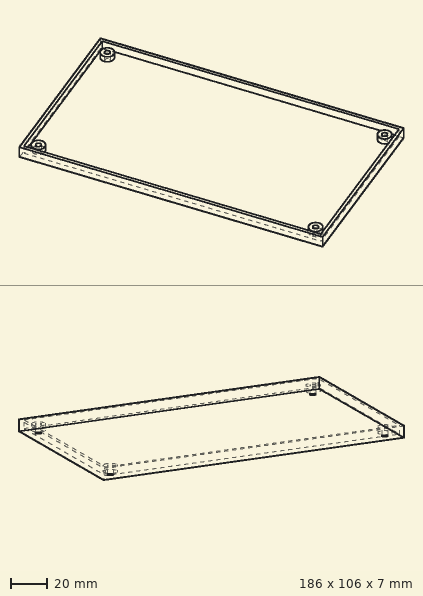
import cadquery as cq

length = 186.0
width = 106.0
height = 7.0
wall = 2.0
floor = 2.0

boss_diameter = 8.0
boss_height = 3.5
hole_diameter = 3.2
boss_inset = 8.0

boss_spacing_x = length - 2 * boss_inset
boss_spacing_y = width - 2 * boss_inset
boss_top = floor + boss_height


def make_tray():
    """Open-topped rectangular tray with its underside on Z = 0."""
    tray = cq.Workplane("XY").box(length, width, height, centered=(True, True, False))
    cavity = (
        cq.Workplane("XY", origin=(0, 0, floor))
        .rect(length - 2 * wall, width - 2 * wall)
        .extrude(height - floor)
    )
    return tray.cut(cavity)


def corner_cylinders(diameter):
    """Four equal cylinders on the standoff axes, from the underside to the standoff tops."""
    return (
        cq.Workplane("XY")
        .rect(boss_spacing_x, boss_spacing_y, forConstruction=True)
        .vertices()
        .circle(diameter / 2)
        .extrude(boss_top)
    )


standoffs = corner_cylinders(boss_diameter)
screw_holes = corner_cylinders(hole_diameter)

result = make_tray().union(standoffs).cut(screw_holes)